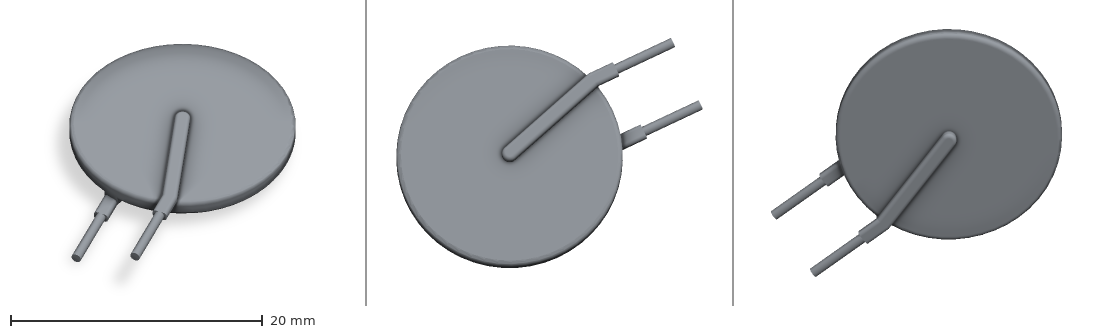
import cadquery as cq
import math

overall_length = 24.63
overall_height = 3.0

disc_diameter = 18.0
disc_thickness = 1.4
disc_edge_round = 0.37

lead_spacing = 5.07
sleeve_width = 1.2
sleeve_round = 0.3
sleeve_overhang = 1.6
bend_to_centre = 8.57

disc_radius = disc_diameter / 2
disc_face = disc_thickness / 2
lead_x = lead_spacing / 2
lead_tip_y = disc_radius - overall_length
lead_height = (overall_height - disc_thickness) / 2
half_width = sleeve_width / 2
sleeve_end_y = -disc_radius - sleeve_overhang


def make_disc():
    disc = cq.Workplane("XY").workplane(offset=-disc_face).circle(disc_radius).extrude(disc_thickness)
    return disc.faces("|Z").edges().fillet(disc_edge_round)


def sleeve_outline(base_z):
    """Constant-width bent strip with a round end over the disc centre."""
    bend_angle = math.atan2(lead_x, bend_to_centre)
    side_x = half_width * math.cos(bend_angle)
    side_y = half_width * math.sin(bend_angle)
    mitre = half_width * math.tan(bend_angle / 2)
    return (
        cq.Workplane("XY", origin=(0, 0, base_z))
        .moveTo(lead_x - half_width, sleeve_end_y)
        .lineTo(lead_x - half_width, -bend_to_centre - mitre)
        .lineTo(-side_x, -side_y)
        .threePointArc((-side_y, side_x), (side_x, side_y))
        .lineTo(lead_x + half_width, -bend_to_centre + mitre)
        .lineTo(lead_x + half_width, sleeve_end_y)
        .close()
    )


def make_sleeve():
    """Sleeve lying on the disc face, rounded along its length but with a square outer end."""
    sleeve = sleeve_outline(disc_face).extrude(lead_height)
    end_edges = sleeve.faces("<Y").edges("|X")
    long_edges = sleeve.faces("|Z").edges().filter(lambda edge: edge not in end_edges.vals())
    return sleeve.newObject(long_edges.vals()).fillet(sleeve_round)


def make_rim_fill():
    """Material under the sleeve that squares off the rounded disc edge out to the full radius."""
    strip = sleeve_outline(0).extrude(disc_face + sleeve_round)
    full_disc = cq.Workplane("XY").circle(disc_radius).extrude(overall_height)
    return strip.intersect(full_disc)


def make_wire():
    """Round bare wire leaving the sleeve, as thick as the sleeve is high."""
    wire_z = disc_face + lead_height / 2
    return (
        cq.Workplane("XZ", origin=(lead_x, -disc_radius, wire_z))
        .circle(lead_height / 2)
        .extrude(-disc_radius - lead_tip_y)
    )


upper_lead = make_sleeve().union(make_rim_fill()).union(make_wire())
lower_lead = upper_lead.rotate((0, 0, 0), (0, 1, 0), 180)

result = make_disc().union(upper_lead).union(lower_lead).clean()